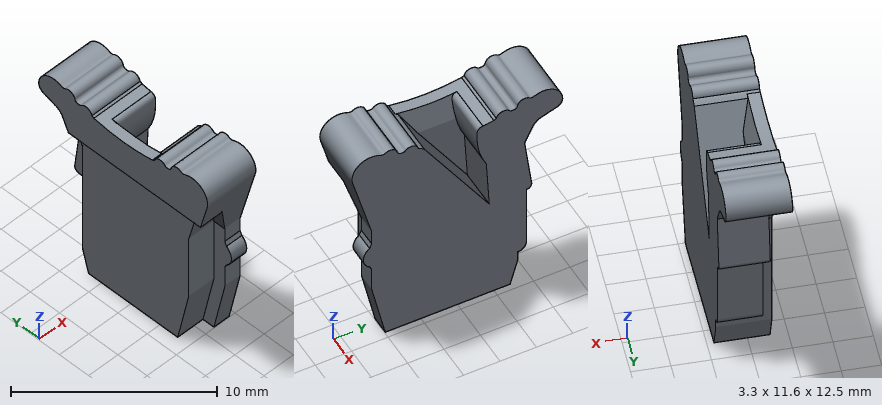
import cadquery as cq
import math

width = 3.3
body_x = 0.52
rib_x = 2.25
shoulder_x = 1.49
hook_x = 0.76
strip_x = 1.06

height = 12.5
head_z = 9.5
shoulder_z = 7.35
front_taper_z = 3.36
back_taper_z = 1.5
back_neck_z = 8.51

half_depth = 5.79
front_y = -4.71
front_foot_y = -3.96
body_inset = 0.75
back_y = 3.32
back_foot_y = 2.9
back_head_y = 3.75

lobe_r = 1.05
lobe_y = half_depth - lobe_r
lobe_z = height - lobe_r
lobe_end_y = 4.4
lobe_end_z = lobe_z + math.sqrt(lobe_r**2 - (lobe_y - lobe_end_y) ** 2)

foot_to_lobe_y = lobe_y + front_y
foot_to_lobe_z = lobe_z - shoulder_z
foot_to_lobe = math.hypot(foot_to_lobe_y, foot_to_lobe_z)
front_lean = math.asin(lobe_r / foot_to_lobe) + math.atan2(foot_to_lobe_y, foot_to_lobe_z)
front_head_y = front_y - (head_z - shoulder_z) * math.tan(front_lean)

groove_start = (4.18, 12.36)
groove_arcs = [
    ((4.08, 12.35), (3.95, 12.4)),
    ((3.71, 12.48), (3.29, 12.11)),
    ((3.24, 12.04), (3.16, 11.99)),
    ((3.1, 11.98), (3.04, 11.98)),
    ((2.94, 11.99), (2.86, 12.04)),
    ((2.52, 12.18), (2.14, 11.85)),
]
saddle_end = (2.0, 11.78)
saddle_mid_z = 11.59

bump_top_z = 6.49
bump_bottom_z = 4.72

hook_top_z = 9.38
hook_root_z = 5.95
strip_y = 3.8
strip_top_z = 6.25
strip_bottom_z = 2.02
overlap = 0.12

pocket_x = 0.65
pocket_deep_x = 1.06
pocket_slope_top_z = 11.62
pocket_slope_end_z = 10.31
ramp_top = (-1.82, 11.65)
ramp_slope = 1.55
pocket_floor_y = 1.75
lip_top = (1.4, 11.68)
lip_mid = (1.18, 11.58)
lip_end = (1.09, 11.35)
bulge_mid = (1.19, 10.04)
bulge_end = (1.59, 8.98)


def mirrored(point):
    return (-point[0], point[1])


def lobe_point(angle):
    """Point on the +Y lobe, angle in degrees from +Y towards +Z."""
    a = math.radians(angle)
    return (lobe_y + lobe_r * math.cos(a), lobe_z + lobe_r * math.sin(a))


def prism(outline, x_start, x_end=width):
    """Extrude a closed Y-Z outline between two X positions."""
    return outline.close().extrude(x_end - x_start).translate((x_start, 0, 0))


def make_head():
    tangent_angle = -math.degrees(front_lean)
    outline = cq.Workplane("YZ").moveTo(back_head_y, head_z).lineTo(4.19, 10.39)
    outline = outline.threePointArc((4.36, 10.59), (4.52, 10.7)).lineTo(5.49, 11.02)
    outline = outline.threePointArc((5.7, 11.2), lobe_point(0))
    outline = outline.threePointArc(lobe_point(60), (lobe_end_y, lobe_end_z))
    outline = outline.lineTo(*groove_start)
    for middle, end in groove_arcs:
        outline = outline.threePointArc(middle, end)
    outline = outline.lineTo(*saddle_end)
    outline = outline.threePointArc((0, saddle_mid_z), mirrored(saddle_end))
    starts = [groove_start] + [end for _, end in groove_arcs]
    outline = outline.lineTo(*mirrored(starts[-1]))
    for (middle, _), start in reversed(list(zip(groove_arcs, starts))):
        outline = outline.threePointArc(mirrored(middle), mirrored(start))
    outline = outline.lineTo(-lobe_end_y, lobe_end_z)
    outline = outline.threePointArc(mirrored(lobe_point(45)), mirrored(lobe_point(tangent_angle)))
    outline = outline.lineTo(front_head_y, head_z)
    return prism(outline, 0)


def make_lower(x_start, inset):
    """Tapered lower body with its front face moved back by the inset."""
    points = [
        (back_head_y, head_z),
        (front_head_y + inset, head_z),
        (front_y + inset, shoulder_z),
        (front_y + inset, front_taper_z),
        (front_foot_y + inset, 0),
        (back_foot_y, 0),
        (back_y, back_taper_z),
        (back_y, back_neck_z),
    ]
    return prism(cq.Workplane("YZ").polyline(points), x_start)


def make_rib():
    """Full-depth front rib that widens through a sloped shoulder into the head."""
    shoulder = [(rib_x, 0), (width, 0), (width, head_z), (shoulder_x, head_z), (rib_x, shoulder_z)]
    band = cq.Workplane("XZ").polyline(shoulder).close().extrude(half_depth, both=True)
    return make_lower(body_x, 0).intersect(band)


def make_bump():
    """Rounded detent on the front of the rib."""
    outline = cq.Workplane("YZ").moveTo(front_y, bump_top_z).lineTo(-4.82, 6.22)
    outline = outline.threePointArc((-5.16, 5.62), (-4.82, 4.92))
    outline = outline.lineTo(front_y, bump_bottom_z).lineTo(front_y + body_inset, bump_bottom_z)
    outline = outline.lineTo(front_y + body_inset, bump_top_z)
    return prism(outline, rib_x)


def make_hook():
    """Latch nose that flares out from the back of the body."""
    outline = cq.Workplane("YZ").moveTo(3.7, hook_top_z).lineTo(4.08, 6.5)
    outline = outline.threePointArc((4.02, 6.24), (3.8, 6.11)).lineTo(3.52, 6.1)
    outline = outline.threePointArc((3.4, 6.06), (back_y, hook_root_z))
    outline = outline.lineTo(back_y - overlap, hook_root_z).lineTo(back_y - overlap, hook_top_z)
    return prism(outline, hook_x)


def make_strip():
    """Raised strip below the hook, rounded at its lower end."""
    outline = cq.Workplane("YZ").moveTo(strip_y, strip_top_z).lineTo(strip_y, 2.5)
    outline = outline.threePointArc((3.65, 2.18), (back_y, strip_bottom_z))
    outline = outline.lineTo(back_y - overlap, strip_bottom_z).lineTo(back_y - overlap, strip_top_z)
    return prism(outline, strip_x)


def make_pocket():
    """Ramped pocket with a rounded back lip and a side wall that slopes, then drops."""
    ramp_end_z = ramp_top[1] - ramp_slope * (pocket_floor_y - ramp_top[0])
    outline = cq.Workplane("YZ").moveTo(*mirrored(saddle_end)).lineTo(*ramp_top)
    outline = outline.lineTo(pocket_floor_y, ramp_end_z).lineTo(*bulge_end)
    outline = outline.threePointArc(bulge_mid, lip_end).threePointArc(lip_mid, lip_top)
    outline = outline.lineTo(lip_top[0], saddle_end[1])
    side = [
        (pocket_x, height),
        (pocket_x, pocket_slope_top_z),
        (pocket_deep_x, pocket_slope_end_z),
        (pocket_deep_x, 0),
        (width, 0),
        (width, height),
    ]
    envelope = cq.Workplane("XZ").polyline(side).close().extrude(half_depth, both=True)
    return prism(outline, 0).intersect(envelope)


result = make_head().union(make_lower(body_x, body_inset))
for feature in (make_rib(), make_bump(), make_hook(), make_strip()):
    result = result.union(feature)
result = result.cut(make_pocket())